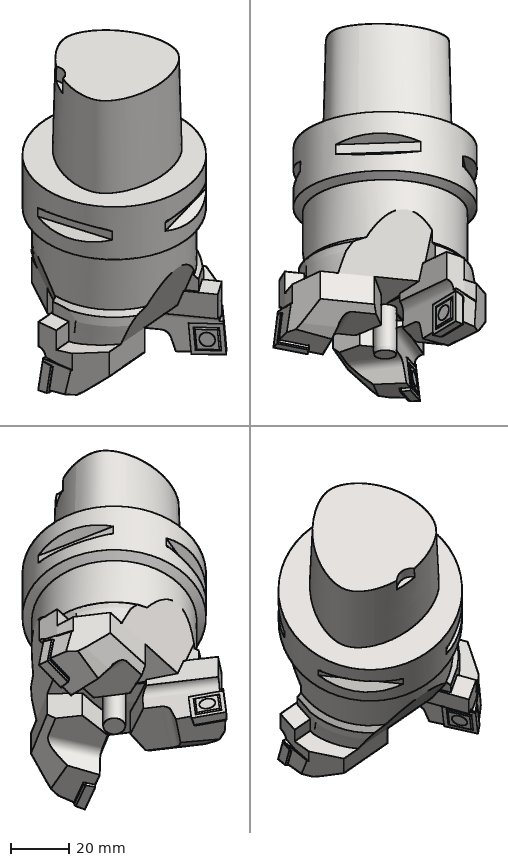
import cadquery as cq
import math

TOTAL_HEIGHT = 117.2
FAR = 70.3
BELOW_Z = -1.2

SHANK_LENGTH = 38.0
SHANK_SIZE = 44.3
SHANK_LOBE = 1.5
SHANK_TAPER = 1 / 20
LOBE_ANGLES = (60, 180, 300)
PIECE_STEPS = 8
LOBE_HALF_ANGLE = 36.5
NOTCH_WIDTH = 8.0
NOTCH_DEPTH = 2.0
NOTCH_HEIGHT = 6.0

FLANGE_DIAMETER = 63.0
FLANGE_HEIGHT = 22.0
FLANGE_CHAMFER_HEIGHT = 2.0
GROOVE_ANGLES = (45, 135, 225, 315)
GROOVE_Z = 67.3
GROOVE_FLOOR_DISTANCE = 27.9
GROOVE_FLOOR_WIDTH = 3.5
GROOVE_MOUTH_WIDTH = 7.9

NECK_DIAMETER = 56.5
NECK_BOTTOM_Z = 34.0
CORE_TOP_RADIUS = 30.1
CORE_TOP_Z = 32.2
CORE_RADIUS = 30.7
CORE_MIDDLE_Z = 28.8
CORE_LOW_RADIUS = 30.5
FLOOR_Z = 19.2
NOZZLE_DIAMETER = 8.0
NOZZLE_BOTTOM_Z = 2.2
NOZZLE_CHAMFER_HEIGHT = 1.4
NOZZLE_CHAMFER_WIDTH = 0.2

TOOTH_ANGLES = (0.0, 124.0, 244.0)
TOOTH_RADIUS = 36.6
SHOULDER_POINT = (-35.5, -10.9)
BACK_CORNER_X = -28.2
BACK_Y = -21.2
BACK_INNER_X = -9.1
INNER_TIP = (-4.0, -10.2)
INNER_FRONT_X = -11.7
BLOCK_FRONT_Y = 3.4
BLOCK_BACK_Y = -4.6
BLOCK_TOP_Z = 27.4
BLOCK_BOTTOM_Z = 17.2
SEAT_CORNER_RADIUS = 3.0
LEDGE_BACK_Z = 21.3
HEEL_TOP_Z = 11.0
HEEL_BREAK = (-14.2, 4.3)
HEEL_TOE = (-8.9, 0.2)
CORE_FLAT_X = -29.8
CORE_FLAT_TOP_Z = 32.8
WALL_Y = 2.7

ARCH_TOP_Z = 8.5
ARCH_WALL_ANGLE = 18.6
ARCH_WALL_X = -21.6
ARCH_WALL_Z = 0.7
ARCH_RADIUS = 3.8

UNDERSIDE_POINT = (-21.7, 0.4, 0.6)
UNDERSIDE_RISE_OUTWARD = 0.1
UNDERSIDE_RISE_BACKWARD = 0.07

GULLET_TOP_Z = 55.1
GULLET_LEAN = 16.9
FLOOR_BREAK_Y = -5.2

INSERT_TIP = (-39.1, 1.4, 1.2)
AXIAL_RAKE = 5.0
LEAD_ANGLE = 5.5
INSERT_SIDE = 12.2
INSERT_THICKNESS = 3.4
INSERT_CLEARANCE = 7.0
BEVEL_THICKNESS = 0.7
BEVEL_ANGLE = 30.0
BOSS_SIDE = 9.0
BOSS_HEIGHT = 0.4
BOSS_WALL_ANGLE = 60.0
SCREW_DIAMETER = 5.5
PAD_HEIGHT = 13.2
PAD_DEPTH = 16.4
PAD_RELIEF = 10.8

FLANGE_TOP_Z = TOTAL_HEIGHT - SHANK_LENGTH
FLANGE_BOTTOM_Z = FLANGE_TOP_Z - FLANGE_HEIGHT
X_NORMAL_PLANE = cq.Plane((0, 0, 0), (0, 1, 0), (1, 0, 0))


def turned(shape, angle):
    return shape.rotate((0, 0, 0), (0, 0, 1), angle)


def lobed_wire(size, z):
    """Closed three-lobed curve made of six smooth pieces."""

    def point(angle):
        a = math.radians(angle)
        radial = size / 2 * math.cos(a) - 2 * SHANK_LOBE * math.cos(2 * a) + SHANK_LOBE * math.cos(4 * a)
        side = size / 2 * math.sin(a) + 2 * SHANK_LOBE * math.sin(2 * a) + SHANK_LOBE * math.sin(4 * a)
        return cq.Vector(side, -radial, z)

    pieces = []
    for lobe in LOBE_ANGLES:
        start = lobe - LOBE_HALF_ANGLE
        middle = lobe + LOBE_HALF_ANGLE
        for first, last in ((start, middle), (middle, start + 360 / len(LOBE_ANGLES))):
            step = (last - first) / PIECE_STEPS
            points = [point(first + step * i) for i in range(PIECE_STEPS + 1)]
            pieces.append(cq.Edge.makeSpline(points))
    return cq.Wire.assembleEdges(pieces)


def make_shank():
    top_size = SHANK_SIZE - SHANK_LENGTH * SHANK_TAPER
    wires = [lobed_wire(SHANK_SIZE, FLANGE_TOP_Z), lobed_wire(top_size, TOTAL_HEIGHT)]
    shank = cq.Workplane(cq.Solid.makeLoft(wires, True))
    flat_y = -(top_size / 2 - SHANK_LOBE)
    notch_radius = ((NOTCH_WIDTH / 2) ** 2 + NOTCH_DEPTH**2) / (2 * NOTCH_DEPTH)
    notch = (
        cq.Workplane("XY", (0, flat_y + NOTCH_DEPTH - notch_radius, TOTAL_HEIGHT))
        .circle(notch_radius)
        .extrude(-NOTCH_HEIGHT)
    )
    return shank.cut(notch)


def make_turned_body():
    flange_radius = FLANGE_DIAMETER / 2
    neck_radius = NECK_DIAMETER / 2
    nozzle_radius = NOZZLE_DIAMETER / 2
    profile = [
        (0, FLANGE_TOP_Z),
        (flange_radius, FLANGE_TOP_Z),
        (flange_radius, FLANGE_BOTTOM_Z),
        (neck_radius, FLANGE_BOTTOM_Z - FLANGE_CHAMFER_HEIGHT),
        (neck_radius, NECK_BOTTOM_Z),
        (CORE_TOP_RADIUS, CORE_TOP_Z),
        (CORE_RADIUS, CORE_MIDDLE_Z),
        (CORE_LOW_RADIUS, FLOOR_Z),
        (nozzle_radius, FLOOR_Z),
        (nozzle_radius, NOZZLE_BOTTOM_Z + NOZZLE_CHAMFER_HEIGHT),
        (nozzle_radius - NOZZLE_CHAMFER_WIDTH, NOZZLE_BOTTOM_Z),
        (0, NOZZLE_BOTTOM_Z),
    ]
    return cq.Workplane("XZ").polyline(profile).close().revolve(360, (0, 0), (0, 1))


def make_gripper_groove():
    flange_radius = FLANGE_DIAMETER / 2
    slope = (GROOVE_MOUTH_WIDTH - GROOVE_FLOOR_WIDTH) / 2 / (flange_radius - GROOVE_FLOOR_DISTANCE)
    outside = FLANGE_DIAMETER
    outside_half = GROOVE_FLOOR_WIDTH / 2 + slope * (outside - GROOVE_FLOOR_DISTANCE)
    section = [
        (GROOVE_FLOOR_DISTANCE, GROOVE_Z - GROOVE_FLOOR_WIDTH / 2),
        (outside, GROOVE_Z - outside_half),
        (outside, GROOVE_Z + outside_half),
        (GROOVE_FLOOR_DISTANCE, GROOVE_Z + GROOVE_FLOOR_WIDTH / 2),
    ]
    return cq.Workplane("XZ").polyline(section).close().extrude(FLANGE_DIAMETER / 2, both=True)


def make_gullet(next_tooth_angle):
    """Space behind the tooth, ended by the wall of the next tooth."""
    lean_y = BACK_Y - (GULLET_TOP_Z - LEDGE_BACK_Z) * math.tan(math.radians(GULLET_LEAN))
    section = [
        (FLOOR_BREAK_Y, FLOOR_Z),
        (BACK_Y, LEDGE_BACK_Z),
        (lean_y, GULLET_TOP_Z),
        (-FAR, GULLET_TOP_Z),
        (-FAR, 0),
        (FLOOR_BREAK_Y, 0),
    ]
    gullet = cq.Workplane(X_NORMAL_PLANE).polyline(section).close().extrude(FAR, both=True)
    open_side = cq.Workplane("XY").box(4 * FAR, 2 * FAR, 2 * FAR, centered=(True, False, True))
    open_side = turned(open_side.translate((0, WALL_Y, 0)), next_tooth_angle)
    nozzle_room = cq.Workplane("XY").circle(NOZZLE_DIAMETER / 2).extrude(FLOOR_Z)
    return gullet.intersect(open_side).cut(nozzle_room)


def make_core_flat():
    """Flat on the core above and behind the block of a tooth."""
    return cq.Workplane("XY").box(FAR, FAR, CORE_FLAT_TOP_Z, centered=(False, True, False)).translate(
        (CORE_FLAT_X - FAR, 0, 0)
    )


def insert_plane():
    """Plane of an insert's rake face: origin at its outer bottom corner, x outward, y up."""
    rake = math.radians(AXIAL_RAKE)
    upright = cq.Plane(INSERT_TIP, (-1, 0, 0), (0, math.cos(rake), math.sin(rake)))
    return upright.rotated((0, 0, LEAD_ANGLE))


def make_tooth_side_limit():
    """Everything inside the tooth's side outline, endless in X."""
    face_y = INSERT_TIP[1]
    face_z = INSERT_TIP[2]
    lean = math.tan(math.radians(AXIAL_RAKE))
    seat_top_y = face_y - lean * (BLOCK_BOTTOM_Z - face_z)
    seat_foot_y = face_y + lean * (face_z - BELOW_Z)
    outline = [
        (seat_foot_y, BELOW_Z),
        (seat_top_y, BLOCK_BOTTOM_Z),
        (BLOCK_FRONT_Y, BLOCK_BOTTOM_Z),
        (BLOCK_FRONT_Y, BLOCK_TOP_Z),
        (BLOCK_BACK_Y, BLOCK_TOP_Z),
        (BLOCK_BACK_Y, FLOOR_Z),
        (BACK_Y, LEDGE_BACK_Z),
        (BACK_Y, HEEL_TOP_Z),
        HEEL_BREAK,
        HEEL_TOE,
        (HEEL_TOE[0], BELOW_Z),
    ]
    limit = cq.Workplane(X_NORMAL_PLANE).polyline(outline).close().extrude(FAR, both=True)
    seat_corner = cq.selectors.NearestToPointSelector((0, seat_top_y, BLOCK_BOTTOM_Z))
    return limit.edges("|X").edges(seat_corner).fillet(SEAT_CORNER_RADIUS)


def make_tooth_plan(outer_points):
    """Upright prism of the tooth's plan outline with the given outer points, front to back."""
    outline = [
        (INNER_FRONT_X, BLOCK_FRONT_Y),
        *outer_points,
        (BACK_CORNER_X, BACK_Y),
        (BACK_INNER_X, BACK_Y),
        INNER_TIP,
    ]
    return cq.Workplane("XY", (0, 0, BELOW_Z)).polyline(outline).close().extrude(BLOCK_TOP_Z - BELOW_Z)


def make_pad():
    """Wider foot of the tooth that carries the insert, square to the insert."""
    face = insert_plane()
    pad_plane = cq.Plane(face.origin, face.xDir, face.yDir)
    setback = PAD_DEPTH * math.tan(math.radians(PAD_RELIEF))
    section = [(0, 0), (-setback, PAD_DEPTH), (-FAR, PAD_DEPTH), (-FAR, -PAD_DEPTH), (0, -PAD_DEPTH)]
    pad = cq.Workplane(pad_plane).workplane(offset=-FAR).polyline(section).close().extrude(FAR + PAD_HEIGHT)
    run_x = SHOULDER_POINT[0] - BACK_CORNER_X
    run_y = SHOULDER_POINT[1] - BACK_Y
    side_end_x = BACK_CORNER_X + run_x / run_y * (BLOCK_FRONT_Y - BACK_Y)
    return make_tooth_plan([(side_end_x, BLOCK_FRONT_Y)]).intersect(pad)


def make_arch():
    """Space under the inner part of the tooth."""
    slope = math.tan(math.radians(ARCH_WALL_ANGLE))
    corner_x = ARCH_WALL_X + slope * (ARCH_TOP_Z - ARCH_WALL_Z)
    foot_x = ARCH_WALL_X - slope * (ARCH_WALL_Z + FAR)
    arch = (
        cq.Workplane("XZ")
        .polyline([(foot_x, -FAR), (corner_x, ARCH_TOP_Z), (FAR, ARCH_TOP_Z), (FAR, -FAR)])
        .close()
        .extrude(FAR, both=True)
    )
    return arch.edges(cq.selectors.NearestToPointSelector((corner_x, 0, ARCH_TOP_Z))).fillet(ARCH_RADIUS)


def make_underside_space():
    """Everything below the tooth's sloping underside."""
    normal = (-UNDERSIDE_RISE_OUTWARD, -UNDERSIDE_RISE_BACKWARD, -1)
    plane = cq.Plane(UNDERSIDE_POINT, (1, 0, -UNDERSIDE_RISE_OUTWARD), normal)
    return cq.Workplane(plane).rect(2 * FAR, 2 * FAR).extrude(FAR)


def make_tooth():
    upper = make_tooth_plan(
        [(-TOOTH_RADIUS, BLOCK_FRONT_Y), (-TOOTH_RADIUS, BLOCK_BACK_Y), SHOULDER_POINT]
    )
    tooth = upper.union(make_pad()).intersect(make_tooth_side_limit())
    return tooth.cut(make_arch()).cut(make_underside_space())


def placed_on_seat(shape):
    """Move a shape modelled in the insert's own frame, centred on its face, to its seat."""
    half = INSERT_SIDE / 2
    return cq.Workplane(shape.val().moved(cq.Location((-half, half, 0))).moved(insert_plane().location))


def square_frustum(side, height, slope_angle):
    """Square tapering away from the origin: downward for a negative height."""
    return cq.Workplane("XY").rect(side, side).extrude(height, taper=slope_angle)


def make_insert_blank():
    back_side = INSERT_SIDE - 2 * INSERT_THICKNESS * math.tan(math.radians(INSERT_CLEARANCE))
    plate = square_frustum(INSERT_SIDE, -INSERT_THICKNESS, INSERT_CLEARANCE)
    bevel = square_frustum(back_side, -BEVEL_THICKNESS, BEVEL_ANGLE).translate((0, 0, -INSERT_THICKNESS))
    return plate.union(bevel)


def make_insert_pocket():
    opening = cq.Workplane("XY").rect(INSERT_SIDE, INSERT_SIDE).extrude(INSERT_THICKNESS)
    return placed_on_seat(make_insert_blank().union(opening))


def make_screw_blank():
    back = -INSERT_THICKNESS - BEVEL_THICKNESS
    return cq.Workplane("XY", (0, 0, back)).circle(SCREW_DIAMETER / 2).extrude(BOSS_HEIGHT - back)


def make_screw():
    return placed_on_seat(make_screw_blank())


def make_insert():
    boss = square_frustum(BOSS_SIDE, BOSS_HEIGHT, BOSS_WALL_ANGLE)
    return placed_on_seat(make_insert_blank().union(boss).cut(make_screw_blank()))


def make_holder():
    holder = make_turned_body().union(make_shank())
    groove = make_gripper_groove()
    for angle in GROOVE_ANGLES:
        holder = holder.cut(turned(groove, angle))
    gap_ends = TOOTH_ANGLES[1:] + TOOTH_ANGLES[:1]
    for angle, next_angle in zip(TOOTH_ANGLES, gap_ends):
        holder = holder.cut(turned(make_gullet(next_angle - angle), angle))
        holder = holder.cut(turned(make_core_flat(), angle))
    tooth = make_tooth()
    for angle in TOOTH_ANGLES:
        holder = holder.union(turned(tooth, angle))
    pocket = make_insert_pocket()
    for angle in TOOTH_ANGLES:
        holder = holder.cut(turned(pocket, angle))
    return holder


holder = make_holder()
inserts = [turned(make_insert(), angle) for angle in TOOTH_ANGLES]
screws = [turned(make_screw(), angle) for angle in TOOTH_ANGLES]
bodies = [holder, *inserts, *screws]
result = cq.Compound.makeCompound([body.solids().val() for body in bodies])